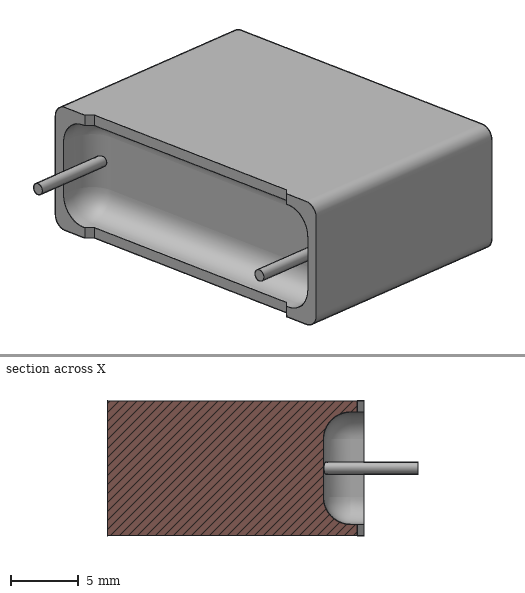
import cadquery as cq

body_width = 26.5
body_depth = 19.0
body_height = 10.0
edge_radius = 1.0

wall = 0.85
recess_depth = 3.0
recess_radius = 2.0

foot_width = 3.0
relief_depth = 0.5

lead_diameter = 0.9
lead_pitch = 22.5
lead_length = 4.0


def block(width, depth, height):
    """Box centred on X and Z that runs from the foot plane toward +Y."""
    return cq.Workplane("XY").box(width, depth, height, centered=(True, False, True))


def make_body():
    return block(body_width, body_depth, body_height).edges("|Y").fillet(edge_radius)


def make_recess():
    """Rounded pocket with a fillet all around its floor."""
    pocket = block(body_width - 2 * wall, recess_depth, body_height - 2 * wall)
    return pocket.edges("|Y or >Y").fillet(recess_radius)


def make_relief():
    """Shallow channel with 45 degree ends that leaves a foot at each side."""
    half_mouth = body_width / 2 - foot_width
    half_floor = half_mouth - relief_depth
    outline = [
        (-half_mouth, 0),
        (half_mouth, 0),
        (half_floor, relief_depth),
        (-half_floor, relief_depth),
    ]
    return cq.Workplane("XY").polyline(outline).close().extrude(body_height / 2, both=True)


def make_lead(x):
    """Round pin from its free end back to the plane of the recess floor."""
    tip = cq.Workplane("XZ", origin=(x, -lead_length, 0))
    return tip.circle(lead_diameter / 2).extrude(-(lead_length + recess_depth))


result = make_body().cut(make_recess()).cut(make_relief())
for lead_x in (-lead_pitch / 2, lead_pitch / 2):
    result = result.union(make_lead(lead_x))